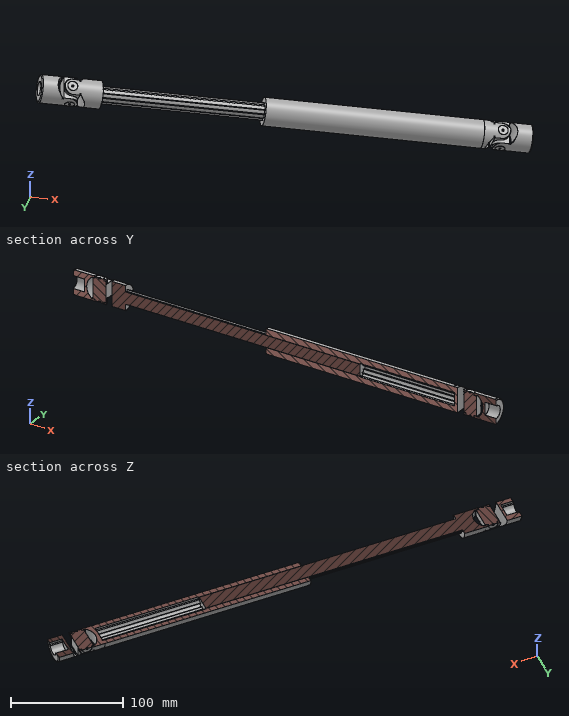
import cadquery as cq
import math

TOTAL_LENGTH = 450.0
JOINT_LENGTH = 56.0
JOINT_HALF = JOINT_LENGTH / 2
JOINT_DIAMETER = 25.8
LEFT_CENTRE = (JOINT_HALF, 0, 0)
RIGHT_CENTRE = (TOTAL_LENGTH - JOINT_HALF, 0, 0)

SLOT_WIDTH = 21.0
SLOT_ROOT_DIAMETER = 26.5
EAR_REACH = 7.0
EAR_HALF_WIDTH = math.sqrt(JOINT_DIAMETER**2 - SLOT_WIDTH**2) / 2

BORE_DIAMETER = 12.5
BORE_DEPTH = 12.0
KEYWAY_WIDTH = 4.0
KEYWAY_REACH = 7.5
END_CHAMFER = 1.0

PIN_DIAMETER = 9.0
PIN_SPAN = 25.0
CENTRE_HOLE_DIAMETER = 1.8
CENTRE_HOLE_DEPTH = 1.0

SPLINE_TEETH = 6
SPLINE_ROOT_DIAMETER = 13.0
SPLINE_TIP_DIAMETER = 16.0
SPLINE_TOOTH_WIDTH = 3.5
SPLINE_ENGAGEMENT = 100.0
SLEEVE_DIAMETER = 26.0
SLEEVE_START = 205.0
SLEEVE_LENGTH = 200.0
SLEEVE_END = SLEEVE_START + SLEEVE_LENGTH
SHAFT_END = SLEEVE_START + SPLINE_ENGAGEMENT


def x_cylinder(diameter, start, end):
    """Cylinder on the X axis between two X positions."""
    return cq.Workplane("YZ", origin=(start, 0, 0)).circle(diameter / 2).extrude(end - start)


def round_nosed_bar(length):
    """Bar along Z, flat at X = -EAR_REACH, with a round nose reaching X = +EAR_REACH."""
    return (
        cq.Workplane("XY")
        .moveTo(-EAR_REACH, -EAR_HALF_WIDTH)
        .lineTo(0, -EAR_HALF_WIDTH)
        .threePointArc((EAR_REACH, 0), (0, EAR_HALF_WIDTH))
        .lineTo(-EAR_REACH, EAR_HALF_WIDTH)
        .close()
        .extrude(length / 2, both=True)
    )


def quarter_turn(body):
    """Turn a body 90 degrees about the X axis."""
    return body.rotate((0, 0, 0), (1, 0, 0), 90)


def reversed_along_x(body):
    """Turn a body end for end about the Z axis."""
    return body.rotate((0, 0, 0), (0, 0, 1), 180)


def mirrored_along_x(body):
    """Mirror a body end for end, keeping its Y and Z positions."""
    return body.mirror("YZ")


def yoke():
    """Yoke about its joint centre: shank on -X, round-tipped ears above and below."""
    bar = x_cylinder(JOINT_DIAMETER, -JOINT_HALF, 0)
    ear_tips = round_nosed_bar(JOINT_DIAMETER).intersect(x_cylinder(JOINT_DIAMETER, 0, JOINT_HALF))
    slot_root = cq.Workplane("XZ").circle(SLOT_ROOT_DIAMETER / 2).extrude(JOINT_DIAMETER, both=True)
    slot = cq.Workplane("XY").box(JOINT_LENGTH, JOINT_LENGTH, SLOT_WIDTH).intersect(slot_root)
    pin_hole = cq.Workplane("XY").circle(PIN_DIAMETER / 2).extrude(JOINT_DIAMETER, both=True)
    return bar.union(ear_tips).cut(slot).cut(pin_hole)


def hub():
    """Yoke with a chamfered end and a blind keyed bore, the keyway on the -Y side."""
    body = yoke().faces("<X").edges().chamfer(END_CHAMFER)
    bore = x_cylinder(BORE_DIAMETER, -JOINT_HALF, -JOINT_HALF + BORE_DEPTH)
    keyway = cq.Workplane("XY").box(BORE_DEPTH, KEYWAY_REACH, KEYWAY_WIDTH)
    keyway = keyway.translate((-JOINT_HALF + BORE_DEPTH / 2, -KEYWAY_REACH / 2, 0))
    return body.cut(bore).cut(keyway)


def cross_arm():
    """Round-nosed arm along Z with a centre-drilled pin at each end."""
    pins = cq.Workplane("XY").circle(PIN_DIAMETER / 2).extrude(PIN_SPAN / 2, both=True)
    arm = round_nosed_bar(SLOT_WIDTH).union(pins)
    for end_face in (">Z", "<Z"):
        arm = arm.faces(end_face).workplane().hole(CENTRE_HOLE_DIAMETER, CENTRE_HOLE_DEPTH)
    return arm


def cross():
    """Two crossed arms, each with its nose flush with the ear tips that carry it."""
    return cross_arm().union(mirrored_along_x(quarter_turn(cross_arm())))


def spline(start, end):
    """Straight-sided spline on the X axis, with one tooth pointing along Y."""
    body = x_cylinder(SPLINE_ROOT_DIAMETER, start, end)
    tooth_pair = (
        cq.Workplane("YZ", origin=(start, 0, 0))
        .rect(2 * SPLINE_TIP_DIAMETER, SPLINE_TOOTH_WIDTH)
        .extrude(end - start)
        .intersect(x_cylinder(SPLINE_TIP_DIAMETER, start, end))
    )
    for i in range(SPLINE_TEETH // 2):
        body = body.union(tooth_pair.rotate((0, 0, 0), (1, 0, 0), i * 360 / SPLINE_TEETH))
    return body


def splined_shaft():
    """Inner yoke of the left joint and the splined shaft fixed to it."""
    inner_yoke = reversed_along_x(quarter_turn(yoke())).translate(LEFT_CENTRE)
    return inner_yoke.union(spline(JOINT_LENGTH, SHAFT_END))


def sleeve():
    """Inner yoke of the right joint and the sleeve that slides on the splined shaft."""
    tube = x_cylinder(SLEEVE_DIAMETER, SLEEVE_START, SLEEVE_END)
    inner_yoke = quarter_turn(yoke()).translate(RIGHT_CENTRE)
    return tube.union(inner_yoke).cut(spline(SLEEVE_START, SLEEVE_END))


left_hub = hub().translate(LEFT_CENTRE)
left_cross = cross().translate(LEFT_CENTRE)
right_hub = mirrored_along_x(hub()).translate(RIGHT_CENTRE)
right_cross = mirrored_along_x(cross()).translate(RIGHT_CENTRE)
bodies = [left_hub, left_cross, splined_shaft(), sleeve(), right_cross, right_hub]
result = cq.Compound.makeCompound([body.solids().val() for body in bodies])